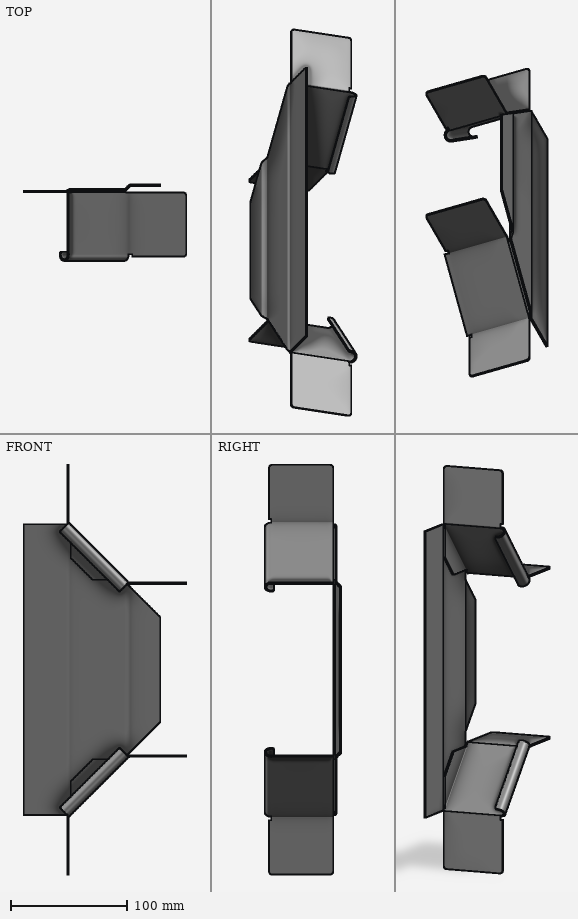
import cadquery as cq
import math

LENGTH_Z = 352.5
WIDTH_X = 140.0
DEPTH_Y = 66.0

SHEET = 1.5
INNER_BEND = 1.0
OUTER_BEND = INNER_BEND + SHEET
MITRE_SHIFT = SHEET * math.tan(math.radians(45 / 2))

PLATE_HALF_HEIGHT = 125.0
PLATE_LEFT = -WIDTH_X / 2
PLATE_RIGHT = 47.5
LEFT_JOGGLE_X = -33.0
LEFT_JOGGLE_RUN = 2.8
RIGHT_JOGGLE_X = 17.3
RIGHT_JOGGLE_RISE = 4.0
PLATE_BACK = DEPTH_Y / 2
WEB_BACK = PLATE_BACK - RIGHT_JOGGLE_RISE
WEB_FRONT = WEB_BACK - SHEET
LEFT_FLANGE_FRONT = WEB_FRONT - SHEET
PLATE_SLANT_START = -32.5

TAB_TOP_X = -31.0
TAB_SIDE_Z = 75.0
WALL_RUN = 51.5
WALL_TOP_Z = TAB_SIDE_Z + WALL_RUN
WALL_END_X = TAB_TOP_X + WALL_RUN
WALL_LENGTH = WALL_RUN * math.sqrt(2)

TAB_BACK = LEFT_FLANGE_FRONT
TAB_WIDTH = 55.5
TAB_CORNER = 2.8
TAB_RELIEF = 2.8

LIP_RADIUS = 5.5
LIP_TAIL = 2.5
LIP_TAIL_CORNER = 2.0
LIP_CENTRE_Y = -DEPTH_Y / 2 + LIP_RADIUS

FOOT_REACH = 20.5
FOOT_LEFT = -29.3
FOOT_BOTTOM = 77.2


def fillet_at(body, radius, points):
    """Round the edges whose middles lie nearest to the given points."""
    for point in points:
        body = body.edges(cq.NearestToPointSelector(point)).fillet(radius)
    return body


def make_base_plate():
    right_joggle_end = RIGHT_JOGGLE_X + RIGHT_JOGGLE_RISE
    back_line = [
        (PLATE_LEFT, WEB_FRONT),
        (LEFT_JOGGLE_X, WEB_FRONT),
        (LEFT_JOGGLE_X + LEFT_JOGGLE_RUN, WEB_BACK),
        (RIGHT_JOGGLE_X, WEB_BACK),
        (right_joggle_end, PLATE_BACK),
        (PLATE_RIGHT, PLATE_BACK),
    ]
    left_mitre = SHEET * math.tan(math.atan2(SHEET, LEFT_JOGGLE_RUN) / 2)
    mitres = [0, left_mitre, left_mitre, MITRE_SHIFT, MITRE_SHIFT, 0]
    front_line = [(x + mitre, y - SHEET) for (x, y), mitre in zip(back_line, mitres)]
    sheet = (
        cq.Workplane("XY")
        .polyline(back_line + front_line[::-1])
        .close()
        .extrude(PLATE_HALF_HEIGHT, both=True)
    )
    outer_points = [front_line[1], back_line[2], front_line[3], back_line[4]]
    inner_points = [back_line[1], front_line[2], back_line[3], front_line[4]]
    outer_corners = [(*point, 0) for point in outer_points]
    inner_corners = [(*point, 0) for point in inner_points]
    sheet = fillet_at(sheet, OUTER_BEND, outer_corners)
    sheet = fillet_at(sheet, INNER_BEND, inner_corners)

    right_half_height = PLATE_HALF_HEIGHT - (PLATE_RIGHT - PLATE_SLANT_START)
    outline = (
        cq.Workplane("XZ")
        .polyline([
            (PLATE_LEFT, -PLATE_HALF_HEIGHT),
            (PLATE_SLANT_START, -PLATE_HALF_HEIGHT),
            (PLATE_RIGHT, -right_half_height),
            (PLATE_RIGHT, right_half_height),
            (PLATE_SLANT_START, PLATE_HALF_HEIGHT),
            (PLATE_LEFT, PLATE_HALF_HEIGHT),
        ])
        .close()
        .extrude(DEPTH_Y, both=True)
    )
    return sheet.intersect(outline)


def make_tab_strip():
    """Vertical tab, slanted wall and horizontal tab as one sheet, with a narrower wall."""
    tip_z = LENGTH_Z / 2
    tip_x = WIDTH_X / 2
    tab_front = TAB_BACK - TAB_WIDTH
    outer_line = [
        (TAB_TOP_X, tip_z),
        (TAB_TOP_X, WALL_TOP_Z),
        (WALL_END_X, TAB_SIDE_Z),
        (tip_x, TAB_SIDE_Z),
    ]
    inner_line = [
        (TAB_TOP_X - SHEET, tip_z),
        (TAB_TOP_X - SHEET, WALL_TOP_Z - MITRE_SHIFT),
        (WALL_END_X - MITRE_SHIFT, TAB_SIDE_Z - SHEET),
        (tip_x, TAB_SIDE_Z - SHEET),
    ]
    strip = (
        cq.Workplane("XZ", origin=(0, TAB_BACK, 0))
        .polyline(outer_line + inner_line[::-1])
        .close()
        .extrude(TAB_WIDTH)
    )
    middle_y = TAB_BACK - TAB_WIDTH / 2
    strip = fillet_at(strip, INNER_BEND, [(x, middle_y, z) for x, z in outer_line[1:3]])
    strip = fillet_at(strip, OUTER_BEND, [(x, middle_y, z) for x, z in inner_line[1:3]])
    top_tab_middle_x = TAB_TOP_X - SHEET / 2
    side_tab_middle_z = TAB_SIDE_Z - SHEET / 2
    for corner_y in (TAB_BACK, tab_front):
        corners = [(top_tab_middle_x, corner_y, tip_z), (tip_x, corner_y, side_tab_middle_z)]
        strip = fillet_at(strip, TAB_CORNER, corners)

    neck_left = TAB_TOP_X - 2 * SHEET
    neck_right = WALL_END_X + TAB_RELIEF
    neck_bottom = TAB_SIDE_Z - 2 * SHEET
    neck_top = WALL_TOP_Z + TAB_RELIEF
    neck_cut = (
        cq.Workplane("XZ", origin=(0, LIP_CENTRE_Y, 0))
        .moveTo((neck_left + neck_right) / 2, (neck_bottom + neck_top) / 2)
        .rect(neck_right - neck_left, neck_top - neck_bottom)
        .extrude(TAB_WIDTH)
    )
    return strip.cut(neck_cut)


def make_channel():
    """Foot, wall and rolled lip: one bent section drawn from the outer wall face inward."""
    section_plane = cq.Plane(
        origin=(TAB_TOP_X, 0, WALL_TOP_Z),
        xDir=(-1, 0, -1),
        normal=(1, 0, -1),
    )
    foot_front = WEB_FRONT - SHEET
    bend_y = WEB_FRONT - OUTER_BEND
    lip_inner = LIP_RADIUS - SHEET
    lip_width = 2 * LIP_RADIUS
    tail_y = LIP_CENTRE_Y + LIP_TAIL
    channel = (
        cq.Workplane(section_plane)
        .moveTo(FOOT_REACH, WEB_FRONT)
        .lineTo(OUTER_BEND, WEB_FRONT)
        .radiusArc((0, bend_y), -OUTER_BEND)
        .lineTo(0, LIP_CENTRE_Y)
        .threePointArc((LIP_RADIUS, LIP_CENTRE_Y - LIP_RADIUS), (lip_width, LIP_CENTRE_Y))
        .lineTo(lip_width, tail_y)
        .lineTo(lip_width - SHEET, tail_y)
        .lineTo(lip_width - SHEET, LIP_CENTRE_Y)
        .threePointArc((LIP_RADIUS, LIP_CENTRE_Y - lip_inner), (SHEET, LIP_CENTRE_Y))
        .lineTo(SHEET, bend_y)
        .radiusArc((OUTER_BEND, foot_front), INNER_BEND)
        .lineTo(FOOT_REACH, foot_front)
        .close()
        .extrude(WALL_LENGTH)
    )
    tail_middle = lip_width - SHEET / 2
    tail_ends = [
        section_plane.toWorldCoords((tail_middle, tail_y, end)).toTuple()
        for end in (0, WALL_LENGTH)
    ]
    channel = fillet_at(channel, LIP_TAIL_CORNER, tail_ends)

    trim_block = cq.Workplane("XY", origin=(0, foot_front + OUTER_BEND / 2, 0)).box(
        WIDTH_X, OUTER_BEND, LENGTH_Z
    )
    left_trim = trim_block.translate((FOOT_LEFT - WIDTH_X / 2, 0, 0))
    bottom_trim = trim_block.translate((0, 0, FOOT_BOTTOM - LENGTH_Z / 2))
    return channel.cut(left_trim).cut(bottom_trim)


def make_bracket(is_upper):
    """One bracket; the lower one is the upper one mirrored across the middle of the plate."""
    bracket = make_tab_strip().union(make_channel())
    return bracket if is_upper else bracket.mirror("XY")


base_plate = make_base_plate()
brackets = [make_bracket(is_upper).val() for is_upper in (True, False)]

result = cq.Compound.makeCompound([base_plate.val(), *brackets])